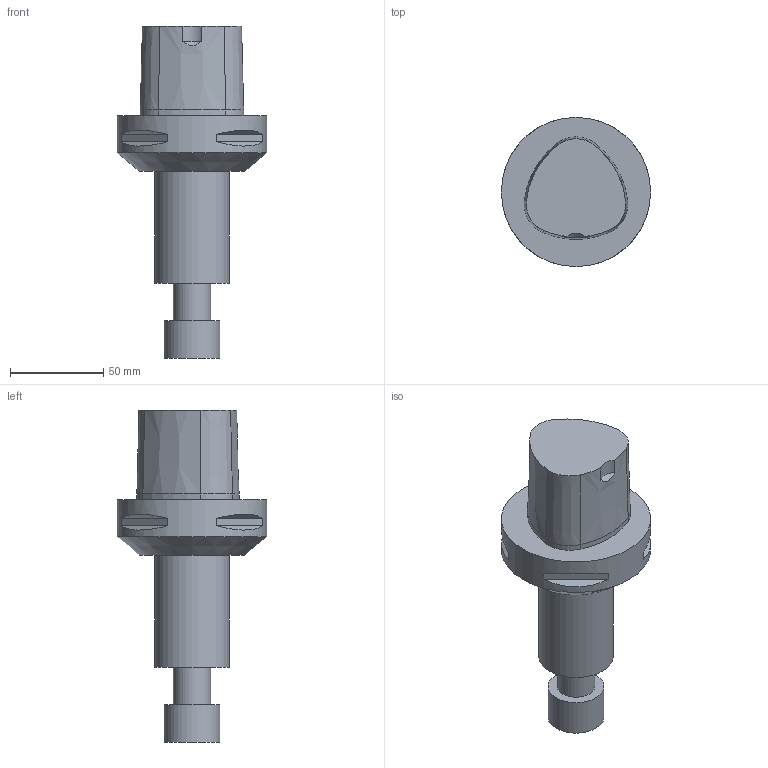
import cadquery as cq
import math

TAPER_HEIGHT = 48.0
COLLAR_HEIGHT = 3.0
FLANGE_HEIGHT = 20.0
CONE_HEIGHT = 10.0
SHANK_LENGTH = 60.0
NECK_LENGTH = 20.0
HEAD_LENGTH = 20.0

FLANGE_DIAMETER = 80.0
SHANK_DIAMETER = 40.0
NECK_DIAMETER = 20.0
HEAD_DIAMETER = 30.0
CONE_ANGLE = 50.0

LOBE_REACH = 29.55
FLAT_REACH = 25.4
LOBE_CENTRE_DISTANCE = 13.0
TAPER_SLOPE = 1 / 40
LOBE_COUNT = 3
SIDE_ANGLE = -90.0

GROOVE_COUNT = 4
GROOVE_FIRST_ANGLE = 45.0
GROOVE_FLOOR_DISTANCE = 35.95
GROOVE_FLOOR_WIDTH = 3.9
GROOVE_FLANK_ANGLE = 30.0
GROOVE_CENTRE_Z = -12.1
CUT_OVERRUN = 1.0

NOTCH_RADIUS = 7.7
NOTCH_BACK_Y = -22.1
NOTCH_DEPTH = 8.1
NOTCH_POINT_SLOPE = 1.0


def on_circle(radius, angle):
    """Point at a radius and an angle in degrees."""
    return (radius * math.cos(math.radians(angle)), radius * math.sin(math.radians(angle)))


def turned_body():
    """Flange, cone, shank, neck and head, revolved about Z."""
    flange_radius = FLANGE_DIAMETER / 2
    cone_radius = flange_radius - CONE_HEIGHT * math.tan(math.radians(CONE_ANGLE))
    cone_top = -FLANGE_HEIGHT
    shank_top = cone_top - CONE_HEIGHT
    neck_top = shank_top - SHANK_LENGTH
    head_top = neck_top - NECK_LENGTH
    head_bottom = head_top - HEAD_LENGTH
    profile = [
        (0, 0),
        (flange_radius, 0),
        (flange_radius, cone_top),
        (cone_radius, shank_top),
        (SHANK_DIAMETER / 2, shank_top),
        (SHANK_DIAMETER / 2, neck_top),
        (NECK_DIAMETER / 2, neck_top),
        (NECK_DIAMETER / 2, head_top),
        (HEAD_DIAMETER / 2, head_top),
        (HEAD_DIAMETER / 2, head_bottom),
        (0, head_bottom),
    ]
    return cq.Workplane("XZ").polyline(profile).close().revolve(360, (0, 0), (0, 1))


def polygon_outline(z, shrink):
    """Closed wire of tangent lobe and side arcs, moved inward by shrink."""
    difference = LOBE_REACH - FLAT_REACH
    side_centre_distance = (
        (2 * difference * LOBE_CENTRE_DISTANCE - difference**2)
        / (LOBE_CENTRE_DISTANCE - 2 * difference)
    )
    side_radius = FLAT_REACH + side_centre_distance - shrink
    pitch = 360 / LOBE_COUNT
    lobe_x, lobe_y = on_circle(LOBE_CENTRE_DISTANCE, pitch / 2)
    joint_direction = math.degrees(math.atan2(lobe_y, lobe_x + side_centre_distance))
    joint_x, joint_y = on_circle(side_radius, joint_direction)
    joint_x -= side_centre_distance
    joint_radius = math.hypot(joint_x, joint_y)
    joint_angle = math.degrees(math.atan2(joint_y, joint_x))

    wire = cq.Workplane("XY").workplane(offset=z)
    wire = wire.moveTo(*on_circle(joint_radius, SIDE_ANGLE - joint_angle))
    for index in range(LOBE_COUNT):
        middle = SIDE_ANGLE + index * pitch
        wire = wire.threePointArc(
            on_circle(FLAT_REACH - shrink, middle),
            on_circle(joint_radius, middle + joint_angle),
        )
        wire = wire.threePointArc(
            on_circle(LOBE_REACH - shrink, middle + pitch / 2),
            on_circle(joint_radius, middle + pitch - joint_angle),
        )
    return wire.close()


def polygon_shank():
    """Straight collar with the tapered polygon on top of it."""
    collar = polygon_outline(0, 0).extrude(COLLAR_HEIGHT)
    top_shrink = (TAPER_HEIGHT - COLLAR_HEIGHT) * TAPER_SLOPE
    lower = polygon_outline(COLLAR_HEIGHT, 0)
    upper = polygon_outline(TAPER_HEIGHT, top_shrink)
    taper = cq.Solid.makeLoft([lower.ctx.pendingWires[0], upper.ctx.pendingWires[0]], True)
    return collar.union(cq.Workplane(taper))


def gripper_groove(angle):
    """Straight groove with sloping flanks, cut across the flange rim."""
    floor_half = GROOVE_FLOOR_WIDTH / 2
    outer = FLANGE_DIAMETER / 2 + CUT_OVERRUN
    flare = (outer - GROOVE_FLOOR_DISTANCE) * math.tan(math.radians(GROOVE_FLANK_ANGLE))
    mouth_half = floor_half + flare
    section = [
        (GROOVE_FLOOR_DISTANCE, GROOVE_CENTRE_Z - floor_half),
        (outer, GROOVE_CENTRE_Z - mouth_half),
        (outer, GROOVE_CENTRE_Z + mouth_half),
        (GROOVE_FLOOR_DISTANCE, GROOVE_CENTRE_Z + floor_half),
    ]
    groove = cq.Workplane("XZ").polyline(section).close().extrude(FLANGE_DIAMETER / 2, both=True)
    return groove.rotate((0, 0, 0), (0, 0, 1), angle)


def orientation_notch():
    """Upright drilled shape that breaks into the middle of the -Y side."""
    shoulder_z = TAPER_HEIGHT - NOTCH_DEPTH
    half_section = [
        (0, TAPER_HEIGHT),
        (NOTCH_RADIUS, TAPER_HEIGHT),
        (NOTCH_RADIUS, shoulder_z),
        (0, shoulder_z - NOTCH_RADIUS * NOTCH_POINT_SLOPE),
    ]
    drill = cq.Workplane("XZ").polyline(half_section).close().revolve(360, (0, 0), (0, 1))
    return drill.translate((0, NOTCH_BACK_Y - NOTCH_RADIUS, 0))


result = turned_body().union(polygon_shank())
for groove_index in range(GROOVE_COUNT):
    result = result.cut(gripper_groove(GROOVE_FIRST_ANGLE + groove_index * 360 / GROOVE_COUNT))
result = result.cut(orientation_notch())